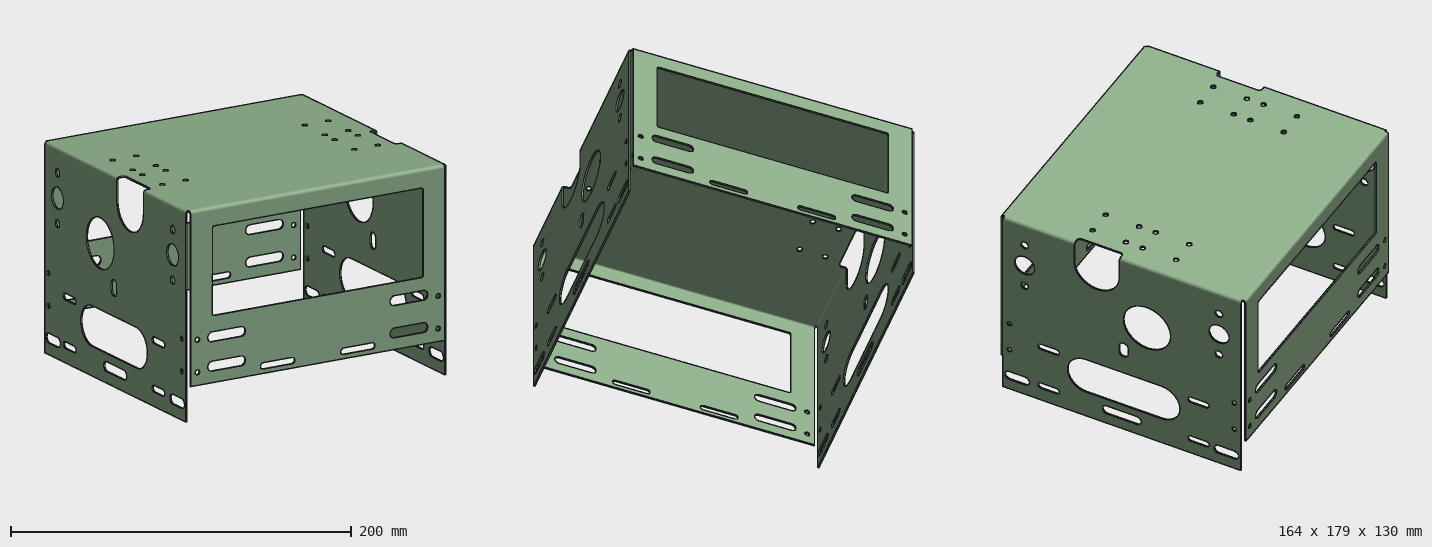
import cadquery as cq


WIDTH = 164.0
LENGTH = 179.0
HEIGHT = 130.0
SHEET = 1.0
BEND_OUTER_RADIUS = 2.1
BEND_INNER_RADIUS = BEND_OUTER_RADIUS - SHEET
END_WALL_WIDTH = 159.2
SIDE_WALL_LENGTH = LENGTH - 2 * BEND_OUTER_RADIUS
SIDE_WALL_BOTTOM = 22.0

RIVET_DIAMETER = 3.0
RIVET_HEIGHTS = (30.0, 50.1)
END_RIVET_X = 75.2
SIDE_RIVET_Y = 82.7

CONNECTOR_X = 65.0
CONNECTOR_Z = 99.0
CONNECTOR_DIAMETER = 13.5
CONNECTOR_SCREW_DIAMETER = 5.0
CONNECTOR_SCREW_OFFSET = 15.5

OPENING_X = 16.8
OPENING_Z = 84.2
OPENING_DIAMETER = 31.5
NOTCH_WIDTH = 30.0
NOTCH_BOTTOM = 100.3
NOTCH_DEPTH = 5.5
NOTCH_CORNER_RADIUS = 2.0

SLOT_GROUP_X = -1.3
KEY_SLOT_LENGTH = 10.4
KEY_SLOT_HEIGHT = 6.0
KEY_SLOT_Z = 60.9
WIDE_SLOT_LENGTH = 75.2
WIDE_SLOT_HEIGHT = 25.0
WIDE_SLOT_Z = 30.8
NARROW_SLOT_LENGTH = 14.3
NARROW_SLOT_HEIGHT = 4.1
NARROW_SLOT_OFFSET = 50.1
NARROW_SLOT_HEIGHTS = (11.0, 40.8)
FOOT_SLOT_Z = 10.2
OUTER_FOOT_SLOT_X = 70.0
OUTER_FOOT_SLOT_LENGTH = 16.5

MOUNT_SLOT_LENGTH = 26.0
MOUNT_SLOT_HEIGHT = 6.0

WINDOW_LENGTH = 145.0
WINDOW_BOTTOM = 63.2
WINDOW_TOP = 118.4
WINDOW_CORNER_RADIUS = 1.5
SIDE_SLOT_Y = 62.7
BACK_SLOT_HEIGHTS = (32.2, 52.1)
FRONT_SLOT_HEIGHTS = (32.2, 50.3)
EDGE_SLOT_Y = 27.5
EDGE_SLOT_Z = 26.7
EDGE_SLOT_LENGTH = 23.6
EDGE_SLOT_HEIGHT = 4.0

TOP_HOLE_DIAMETER = 3.2
TOP_HOLE_X = (-28.0, -5.5, 5.5, 28.0)
TOP_HOLE_Y = (-74.1, -58.0, 58.0, 74.1)


def bent_channel(plane, span, depth, bottom):
    """Inverted U of sheet: a top plate and two walls, drawn on plane and extruded both ways."""
    middle = (bottom + HEIGHT) / 2
    outer = (
        cq.Workplane(plane)
        .center(0, middle)
        .rect(span, HEIGHT - bottom)
        .extrude(depth / 2, both=True)
    )
    inner = (
        cq.Workplane(plane)
        .center(0, middle - SHEET)
        .rect(span - 2 * SHEET, HEIGHT - bottom)
        .extrude(depth / 2, both=True)
    )
    axis = "|Y" if plane == "XZ" else "|X"
    outer = outer.faces(">Z").edges(axis).fillet(BEND_OUTER_RADIUS)
    inner = inner.faces(">Z").edges(axis).fillet(BEND_INNER_RADIUS)
    return outer.cut(inner)


def round_cutter(plane, diameter, points):
    """Round bars through the whole part at the given points of plane."""
    return cq.Workplane(plane).pushPoints(points).circle(diameter / 2).extrude(LENGTH, both=True)


def slot_cutter(plane, length, height, points, angle=0):
    """Round-ended bars through the whole part at the given points of plane."""
    sketch = cq.Workplane(plane).pushPoints(points).slot2D(length, height, angle)
    return sketch.extrude(LENGTH, both=True)


def grid(first_values, second_values):
    """All pairs of a first and a second coordinate."""
    return [(a, b) for a in first_values for b in second_values]


def cut_end_walls(body):
    """Openings that pass through both end walls, along Y."""
    connector_sides = (-CONNECTOR_X, CONNECTOR_X)
    screw_heights = (CONNECTOR_Z - CONNECTOR_SCREW_OFFSET, CONNECTOR_Z + CONNECTOR_SCREW_OFFSET)
    narrow_slot_x = (SLOT_GROUP_X - NARROW_SLOT_OFFSET, SLOT_GROUP_X + NARROW_SLOT_OFFSET)
    outer_foot_slots = [(-OUTER_FOOT_SLOT_X, FOOT_SLOT_Z), (OUTER_FOOT_SLOT_X, FOOT_SLOT_Z)]
    cutters = (
        round_cutter("XZ", RIVET_DIAMETER, grid((-END_RIVET_X, END_RIVET_X), RIVET_HEIGHTS)),
        round_cutter("XZ", CONNECTOR_DIAMETER, grid(connector_sides, (CONNECTOR_Z,))),
        round_cutter("XZ", CONNECTOR_SCREW_DIAMETER, grid(connector_sides, screw_heights)),
        round_cutter("XZ", OPENING_DIAMETER, [(-OPENING_X, OPENING_Z)]),
        slot_cutter("XZ", KEY_SLOT_LENGTH, KEY_SLOT_HEIGHT, [(SLOT_GROUP_X, KEY_SLOT_Z)], 90),
        slot_cutter("XZ", WIDE_SLOT_LENGTH, WIDE_SLOT_HEIGHT, [(SLOT_GROUP_X, WIDE_SLOT_Z)]),
        slot_cutter("XZ", NARROW_SLOT_LENGTH, NARROW_SLOT_HEIGHT, grid(narrow_slot_x, NARROW_SLOT_HEIGHTS)),
        slot_cutter("XZ", MOUNT_SLOT_LENGTH, MOUNT_SLOT_HEIGHT, [(0, FOOT_SLOT_Z)]),
        slot_cutter("XZ", OUTER_FOOT_SLOT_LENGTH, MOUNT_SLOT_HEIGHT, outer_foot_slots),
    )
    for cutter in cutters:
        body = body.cut(cutter)
    return body


def cut_side_walls(body):
    """Openings that pass through both side walls, along X."""
    window = (
        cq.Workplane("YZ")
        .center(0, (WINDOW_BOTTOM + WINDOW_TOP) / 2)
        .rect(WINDOW_LENGTH, WINDOW_TOP - WINDOW_BOTTOM)
        .extrude(WIDTH, both=True)
        .edges("|X")
        .fillet(WINDOW_CORNER_RADIUS)
    )
    mount_slots = grid((SIDE_SLOT_Y,), BACK_SLOT_HEIGHTS) + grid((-SIDE_SLOT_Y,), FRONT_SLOT_HEIGHTS)
    edge_slots = [(-EDGE_SLOT_Y, EDGE_SLOT_Z), (EDGE_SLOT_Y, EDGE_SLOT_Z)]
    cutters = (
        window,
        round_cutter("YZ", RIVET_DIAMETER, grid((-SIDE_RIVET_Y, SIDE_RIVET_Y), RIVET_HEIGHTS)),
        slot_cutter("YZ", MOUNT_SLOT_LENGTH, MOUNT_SLOT_HEIGHT, mount_slots),
        slot_cutter("YZ", EDGE_SLOT_LENGTH, EDGE_SLOT_HEIGHT, edge_slots),
    )
    for cutter in cutters:
        body = body.cut(cutter)
    return body


def cut_bend_notches(body):
    """U-shaped notches that run over both end bends into the top plate."""
    radius = NOTCH_WIDTH / 2
    arc_center_z = NOTCH_BOTTOM + radius
    rounded_prism = (
        cq.Workplane("XY")
        .rect(NOTCH_WIDTH, 2 * NOTCH_DEPTH)
        .extrude(HEIGHT)
        .edges("|Z")
        .fillet(NOTCH_CORNER_RADIUS)
    )
    u_outline = (
        cq.Workplane("XZ")
        .moveTo(-radius, HEIGHT)
        .lineTo(-radius, arc_center_z)
        .threePointArc((0, NOTCH_BOTTOM), (radius, arc_center_z))
        .lineTo(radius, HEIGHT)
        .close()
        .extrude(NOTCH_DEPTH, both=True)
    )
    notch = rounded_prism.intersect(u_outline)
    for end_y in (-LENGTH / 2, LENGTH / 2):
        body = body.cut(notch.translate((OPENING_X, end_y, 0)))
    return body


top_and_sides = bent_channel("XZ", WIDTH, SIDE_WALL_LENGTH, SIDE_WALL_BOTTOM)
top_and_ends = bent_channel("YZ", LENGTH, END_WALL_WIDTH, 0)
cover = top_and_sides.union(top_and_ends)
cover = cut_end_walls(cover)
cover = cut_side_walls(cover)
cover = cut_bend_notches(cover)
result = cover.cut(round_cutter("XY", TOP_HOLE_DIAMETER, grid(TOP_HOLE_X, TOP_HOLE_Y)))